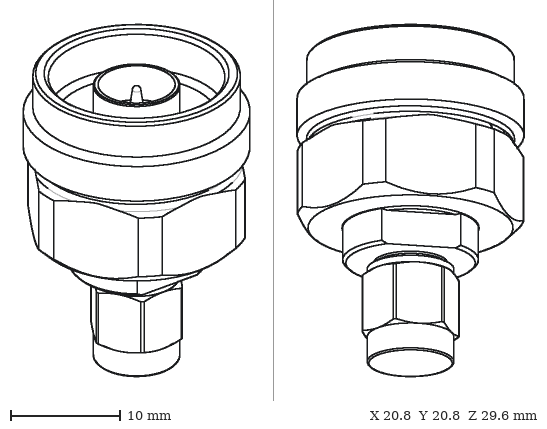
import cadquery as cq
import math

total_height = 29.65

rim_radius = 9.52
rim_chamfer = 0.27
band_radius = 10.4
band_top_z = 25.65
band_top_cone_height = 0.5
band_bottom_z = 22.03
groove_top_radius = 9.55
groove_top_z = 21.67
groove_radius = 9.45
groove_floor_z = 21.17
groove_fillet_radius = 0.65
large_hex_flats = 19.05
large_hex_cone_angle = math.radians(30)
large_hex_top_z = 20.25
large_hex_low_z = 14.1
large_hex_bottom_z = 13.1
base_boss_top_radius = 6.3
base_boss_bottom_radius = 5.93
base_boss_bottom_z = 12.93

socket_mouth_radius = 8.48
socket_radius = 8.1
socket_floor_radius = 7.4
socket_depth = 4.55
socket_cone_height = 0.53

tube_radius = 3.97
tube_bore_radius = 3.53
tube_top_z = 28.5
tube_floor_z = 24.95
tube_chamfer = 0.12
pin_base_radius = 0.83
pin_tip_radius = 0.4
pin_tip_z = 28.32

collar_radius = 6.23
collar_flats = 10.02
collar_bottom_z = 9.7
collar_chamfer = 0.3
neck_radius = 3.3
neck_root_radius = 3.38
neck_root_height = 0.18

small_nut_radius = 3.97
small_nut_top_z = 9.1
small_hex_corner_radius = 4.5
small_hex_top_z = 8.48
small_hex_bottom_z = 2.55
small_hex_cone_height = 0.3
small_nut_chamfer = 0.15


def revolve_profile(points):
    """Revolve a closed (radius, height) outline around Z."""
    return cq.Workplane("XZ").polyline(points).close().revolve(360, (0, 0), (0, 1))


def hex_prism(across_flats, bottom_z, top_z):
    """Hexagonal prism with two flats facing +X and -X."""
    corner_diameter = across_flats / math.cos(math.pi / 6)
    prism = cq.Workplane("XY").polygon(6, corner_diameter).extrude(top_z - bottom_z)
    return prism.rotate((0, 0, 0), (0, 0, 1), 30).translate((0, 0, bottom_z))


def large_nut_skirt():
    """Round upper part of the large nut, down to the floor of the groove."""
    return revolve_profile([
        (0, groove_floor_z),
        (groove_radius, groove_floor_z),
        (groove_top_radius, groove_top_z),
        (band_radius, band_bottom_z),
        (band_radius, band_top_z),
        (rim_radius, band_top_z + band_top_cone_height),
        (rim_radius, total_height - rim_chamfer),
        (rim_radius - rim_chamfer, total_height),
        (0, total_height),
    ])


def groove_fillet_point(angle):
    """Point on the fillet that runs from the groove floor towards the hexagon."""
    return (
        groove_radius + groove_fillet_radius * (1 - math.cos(angle)),
        groove_floor_z - groove_fillet_radius * math.sin(angle),
    )


def large_nut_hex():
    """Hexagon trimmed by a turned blank that rounds its corners and blends into the groove."""
    fillet_sweep = math.pi / 2 - large_hex_cone_angle
    bottom_radius = band_radius - (large_hex_low_z - large_hex_bottom_z)
    blank = (
        cq.Workplane("XZ")
        .moveTo(0, large_hex_bottom_z)
        .lineTo(bottom_radius, large_hex_bottom_z)
        .lineTo(band_radius, large_hex_low_z)
        .lineTo(band_radius, large_hex_top_z)
        .lineTo(*groove_fillet_point(fillet_sweep))
        .threePointArc(groove_fillet_point(fillet_sweep / 2), groove_fillet_point(0))
        .lineTo(0, groove_floor_z)
        .close()
        .revolve(360, (0, 0), (0, 1))
    )
    return blank.intersect(hex_prism(large_hex_flats, large_hex_bottom_z, groove_floor_z))


def base_boss():
    """Low coned boss under the large nut."""
    return revolve_profile([
        (0, base_boss_bottom_z),
        (base_boss_bottom_radius, base_boss_bottom_z),
        (base_boss_top_radius, large_hex_bottom_z),
        (0, large_hex_bottom_z),
    ])


def socket():
    """Cavity of the large nut, with chamfered mouth and coned floor edge."""
    floor_z = total_height - socket_depth
    return revolve_profile([
        (0, floor_z),
        (socket_floor_radius, floor_z),
        (socket_radius, floor_z + socket_cone_height),
        (socket_radius, total_height - (socket_mouth_radius - socket_radius)),
        (socket_mouth_radius, total_height),
        (0, total_height),
    ])


def contact_tube():
    """Round post rising from the socket floor, chamfered at its top outer edge."""
    floor_z = total_height - socket_depth
    post = cq.Workplane("XY", origin=(0, 0, floor_z)).circle(tube_radius).extrude(tube_top_z - floor_z)
    return post.faces(">Z").chamfer(tube_chamfer)


def contact_tube_bore():
    height = tube_top_z - tube_floor_z
    return cq.Workplane("XY", origin=(0, 0, tube_floor_z)).circle(tube_bore_radius).extrude(height)


def contact_pin():
    """Tapered pin with a hemispherical tip."""
    tip_center_z = pin_tip_z - pin_tip_radius
    arc_offset = pin_tip_radius * math.sqrt(0.5)
    return (
        cq.Workplane("XZ")
        .moveTo(0, tube_floor_z)
        .lineTo(pin_base_radius, tube_floor_z)
        .lineTo(pin_tip_radius, tip_center_z)
        .threePointArc((arc_offset, tip_center_z + arc_offset), (0, pin_tip_z))
        .close()
        .revolve(360, (0, 0), (0, 1))
    )


def collar():
    """Chamfered round collar with wrench flats facing +X and -X."""
    height = large_hex_bottom_z - collar_bottom_z
    blank = cq.Workplane("XY", origin=(0, 0, collar_bottom_z)).circle(collar_radius).extrude(height)
    blank = blank.faces("<Z").chamfer(collar_chamfer)
    flats = cq.Workplane("XY", origin=(0, 0, collar_bottom_z))
    flats = flats.rect(collar_flats, 2 * collar_radius).extrude(height)
    return blank.intersect(flats)


def neck():
    """Short neck that widens slightly where it meets the collar."""
    return revolve_profile([
        (0, small_nut_top_z),
        (neck_radius, small_nut_top_z),
        (neck_radius, collar_bottom_z - neck_root_height),
        (neck_root_radius, collar_bottom_z),
        (0, collar_bottom_z),
    ])


def small_nut():
    """Round nut body with a corner-trimmed hexagon around its middle."""
    body = cq.Workplane("XY").circle(small_nut_radius).extrude(small_nut_top_z)
    body = body.faces("<Z").chamfer(small_nut_chamfer)
    blank = revolve_profile([
        (0, small_hex_bottom_z),
        (small_nut_radius, small_hex_bottom_z),
        (small_hex_corner_radius, small_hex_bottom_z + small_hex_cone_height),
        (small_hex_corner_radius, small_hex_top_z - small_hex_cone_height),
        (small_nut_radius, small_hex_top_z),
        (0, small_hex_top_z),
    ])
    hexagon = blank.intersect(hex_prism(2 * small_nut_radius, small_hex_bottom_z, small_hex_top_z))
    return body.union(hexagon)


result = (
    large_nut_skirt()
    .union(large_nut_hex())
    .union(base_boss())
    .cut(socket())
    .union(contact_tube())
    .cut(contact_tube_bore())
    .union(contact_pin())
    .union(collar())
    .union(neck())
    .union(small_nut())
)